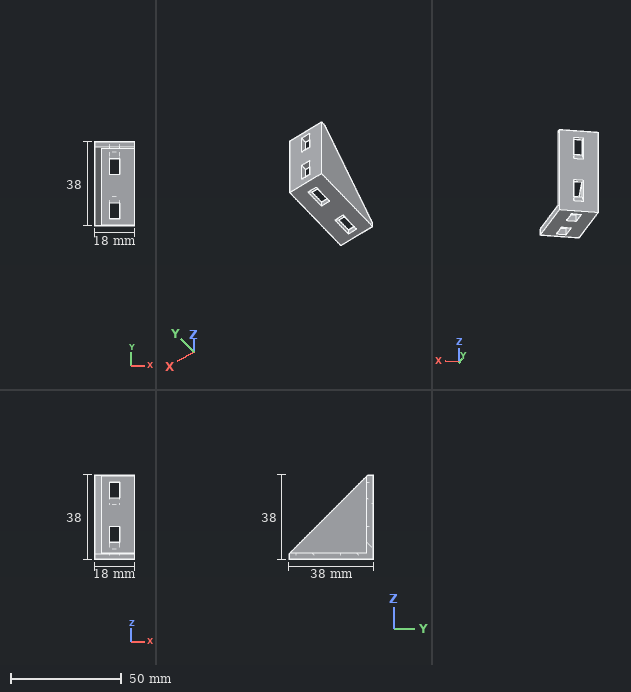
import cadquery as cq

width = 18.0
leg_length = 38.0
plate_thickness = 3.0
side_wall_thickness = 3.0
end_height = 2.5

slot_width = 4.5
slot_length = 7.0
slot_center_x = width / 2
slot_distances = (11.25, 31.25)


def triangular_body():
    """Full-width right triangle with its outer corner at y = leg_length, z = 0."""
    return (
        cq.Workplane("YZ")
        .moveTo(0, 0)
        .lineTo(leg_length, 0)
        .lineTo(leg_length, leg_length)
        .lineTo(leg_length - end_height, leg_length)
        .lineTo(0, end_height)
        .close()
        .extrude(width)
    )


def inner_space():
    """Region between the legs, beside the side wall and open on the +X side."""
    return cq.Workplane("XY").box(
        width - side_wall_thickness,
        leg_length - plate_thickness,
        leg_length - plate_thickness,
        centered=False,
    ).translate((side_wall_thickness, 0, plate_thickness))


def slot_profile(distance):
    """Outline of a slot lengthwise: points are (distance along the leg, depth below its inner face).

    The end nearer the corner flares at 45 degrees toward the outer face; the other end is square.
    """
    near_end = distance - slot_length / 2
    far_end = distance + slot_length / 2
    return [
        (near_end, 0),
        (far_end, 0),
        (far_end, plate_thickness),
        (near_end - plate_thickness, plate_thickness),
    ]


def slot_cutter(points):
    """Prism of the slot width through (y, z) points."""
    return (
        cq.Workplane("YZ", origin=(slot_center_x - slot_width / 2, 0, 0))
        .polyline(points)
        .close()
        .extrude(slot_width)
    )


def floor_slot(distance):
    """Cutter for a slot through the horizontal leg."""
    return slot_cutter(
        [(leg_length - along, plate_thickness - depth) for along, depth in slot_profile(distance)]
    )


def back_slot(distance):
    """Cutter for a slot through the vertical leg."""
    inner_face_y = leg_length - plate_thickness
    return slot_cutter([(inner_face_y + depth, along) for along, depth in slot_profile(distance)])


result = triangular_body().cut(inner_space())
for slot_distance in slot_distances:
    result = result.cut(floor_slot(slot_distance))
    result = result.cut(back_slot(slot_distance))